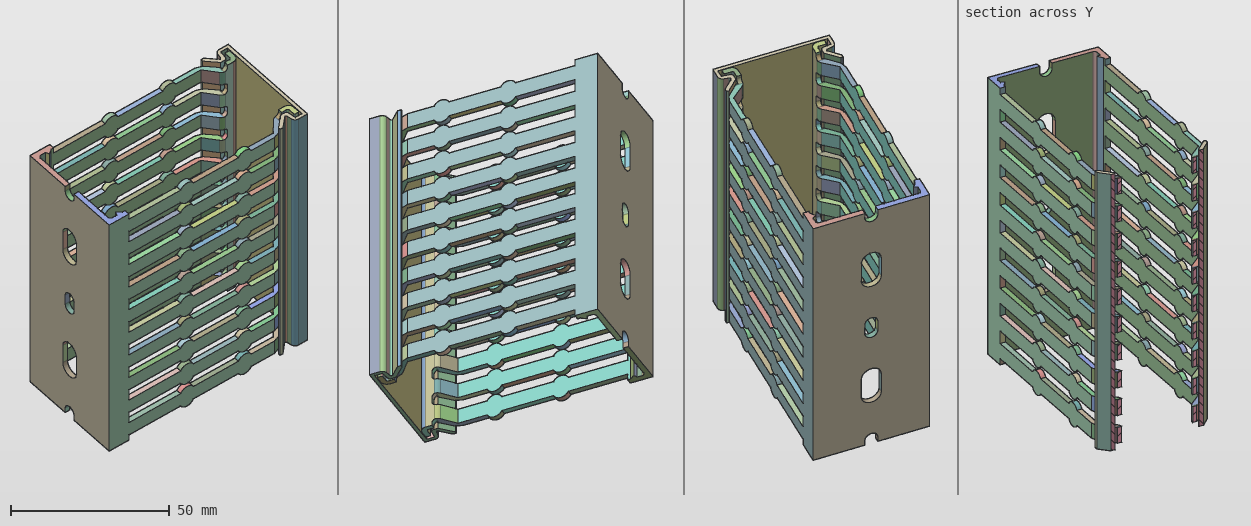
import cadquery as cq
import math

length = 100.0
width = 40.0
height = 80.0

base_thickness = 1.9
wall_foot_thickness = 2.0
wall_top_thickness = 1.8
foot_fillet = 1.0
shoulder_outer_drop = 13.4
shoulder_inner_drop = 12.5
rail_inset = 5.6
rail_outer_inset = 7.2
rail_bend_start_drop = 6.9
rail_bend_end = (6.4, 8.6)
hook_top_drop = 1.5
hook_bottom_drop = 3.4
hook_tip_inset = 2.4
hook_tip_radius = 0.4
hook_radius = 2.2
hook_inner_radius = 0.6

rib_top = 7.0
rib_tip = 5.2
rib_bottom = 4.7
rib_tip_inset = 3.3

slot_pitch = 10.0
slot_width = 4.5
slot_bottom = 8.0
slot_top_drop = 6.0
slot_corner_radius = 1.4
bump_centres = (31.4, 54.7)
bump_half_chord = 2.6
bump_gap = 1.4

large_slot_length = 14.4
large_slot_width = 6.8
large_slot_spacing = 50.0
small_slot_length = 8.4
small_slot_width = 4.4

lid_thickness = 1.3
lid_side_thickness = 1.2
lip_drop = 4.0
lip_side_drop = 3.7
lip_corner = (1.4, 5.4)
lip_notch_start = (3.1, 5.7)
lip_bend_end = (4.1, 4.4)
neck_inset = 4.9
neck_bend_drop = 5.4
neck_thickness = 1.3
leg_thickness = 1.4
leg_end_drop = 11.1

contact_start_drop = 11.9
contact_angle = math.radians(45)
leg_rise = leg_thickness / math.cos(contact_angle)
leg_end_inset = (contact_start_drop - leg_end_drop) / math.tan(contact_angle)


def contact_drop(inset):
    return contact_start_drop - inset * math.tan(contact_angle)


def at(inset, drop):
    """Point of the left half section, from its inset and its drop below the lid."""
    return (inset - width / 2, height - drop)


def arc_middle(centre_inset, centre_drop, radius, degrees):
    """Point on a section arc; 0 degrees points inwards and 90 degrees up."""
    angle = math.radians(degrees)
    return at(centre_inset + radius * math.cos(angle), centre_drop - radius * math.sin(angle))


def both_sides(half_section):
    """Extrude the left half section along the duct and join it with its mirror image."""
    half = half_section.close().extrude(length)
    return half.union(half.mirror("YZ")).clean()


def trunk_section():
    foot_drop = height - base_thickness
    hook_centre_inset = rail_outer_inset - hook_radius
    hook_centre_drop = hook_top_drop + hook_radius
    inner_centre_inset = rail_inset - hook_inner_radius
    inner_centre_drop = hook_bottom_drop + hook_inner_radius
    tip_centre_inset = hook_tip_inset + hook_tip_radius
    tip_lower_centre_drop = hook_bottom_drop - hook_tip_radius
    tip_upper_centre_drop = hook_top_drop + hook_tip_radius
    fillet_centre_inset = wall_foot_thickness + foot_fillet
    fillet_centre_drop = foot_drop - foot_fillet
    return (
        cq.Workplane("XY")
        .moveTo(0, 0)
        .lineTo(*at(0, height))
        .lineTo(*at(0, shoulder_outer_drop))
        .lineTo(*at(leg_end_inset, leg_end_drop))
        .lineTo(*at(neck_inset, contact_drop(neck_inset)))
        .lineTo(*at(rail_inset, contact_drop(neck_inset)))
        .lineTo(*at(rail_inset, inner_centre_drop))
        .threePointArc(
            arc_middle(inner_centre_inset, inner_centre_drop, hook_inner_radius, 45),
            at(inner_centre_inset, hook_bottom_drop),
        )
        .lineTo(*at(tip_centre_inset, hook_bottom_drop))
        .threePointArc(
            arc_middle(tip_centre_inset, tip_lower_centre_drop, hook_tip_radius, 225),
            at(hook_tip_inset, tip_lower_centre_drop),
        )
        .lineTo(*at(hook_tip_inset, tip_upper_centre_drop))
        .threePointArc(
            arc_middle(tip_centre_inset, tip_upper_centre_drop, hook_tip_radius, 135),
            at(tip_centre_inset, hook_top_drop),
        )
        .lineTo(*at(hook_centre_inset, hook_top_drop))
        .threePointArc(
            arc_middle(hook_centre_inset, hook_centre_drop, hook_radius, 45),
            at(rail_outer_inset, hook_centre_drop),
        )
        .lineTo(*at(rail_outer_inset, rail_bend_start_drop))
        .tangentArcPoint(at(*rail_bend_end), relative=False)
        .lineTo(*at(wall_top_thickness, shoulder_inner_drop))
        .lineTo(*at(wall_foot_thickness, height - rib_top))
        .lineTo(*at(rib_tip_inset, height - rib_tip))
        .lineTo(*at(wall_foot_thickness, height - rib_bottom))
        .lineTo(*at(wall_foot_thickness, fillet_centre_drop))
        .threePointArc(
            arc_middle(fillet_centre_inset, fillet_centre_drop, foot_fillet, 225),
            at(fillet_centre_inset, foot_drop),
        )
        .lineTo(0, base_thickness)
    )


def side_slot(z):
    """Cutter through both side walls: rounded upper corners, pinched by the bumps of the fingers."""
    half = slot_width / 2
    top = height - slot_top_drop
    outline = cq.Workplane("YZ").moveTo(slot_bottom, z - half)
    for centre in bump_centres:
        outline = outline.lineTo(centre - bump_half_chord, z - half).threePointArc(
            (centre, z - bump_gap / 2), (centre + bump_half_chord, z - half)
        )
    outline = (
        outline.lineTo(top - slot_corner_radius, z - half)
        .tangentArcPoint((top, z - half + slot_corner_radius), relative=False)
        .lineTo(top, z + half - slot_corner_radius)
        .tangentArcPoint((top - slot_corner_radius, z + half), relative=False)
    )
    for centre in reversed(bump_centres):
        outline = outline.lineTo(centre + bump_half_chord, z + half).threePointArc(
            (centre, z + bump_gap / 2), (centre - bump_half_chord, z + half)
        )
    return outline.lineTo(slot_bottom, z + half).close().extrude(width / 2, both=True)


def base_slot(z, long_size, short_size):
    """Cutter for a round-ended slot through the base, long along Z."""
    return (
        cq.Workplane("XZ")
        .center(0, z)
        .slot2D(long_size, short_size, 90)
        .extrude(-base_thickness)
    )


def make_trunk():
    trunk = both_sides(trunk_section())
    for i in range(math.floor(length / slot_pitch) + 1):
        trunk = trunk.cut(side_slot(i * slot_pitch))
    for z in (0, length / 2, length):
        trunk = trunk.cut(base_slot(z, small_slot_length, small_slot_width))
    for side in (-1, 1):
        z = length / 2 + side * large_slot_spacing / 2
        trunk = trunk.cut(base_slot(z, large_slot_length, large_slot_width))
    return trunk


def make_lid():
    notch_inset = neck_inset - neck_thickness
    section = (
        cq.Workplane("XY")
        .moveTo(0, height)
        .lineTo(*at(0, 0))
        .lineTo(*at(0, lip_side_drop))
        .tangentArcPoint(at(*lip_corner), relative=False)
        .lineTo(*at(*lip_notch_start))
        .tangentArcPoint(at(notch_inset, contact_drop(notch_inset) - leg_rise), relative=False)
        .lineTo(*at(0, contact_drop(0) - leg_rise))
        .lineTo(*at(0, leg_end_drop))
        .lineTo(*at(leg_end_inset, leg_end_drop))
        .lineTo(*at(neck_inset, contact_drop(neck_inset)))
        .lineTo(*at(neck_inset, neck_bend_drop))
        .tangentArcPoint(at(*lip_bend_end), relative=False)
        .lineTo(*at(lid_side_thickness, lip_drop))
        .lineTo(*at(lid_side_thickness, lid_thickness))
        .lineTo(0, height - lid_thickness)
    )
    return both_sides(section)


trunk = make_trunk()
lid = make_lid()
result = cq.Compound.makeCompound([trunk.solids().val(), lid.solids().val()])